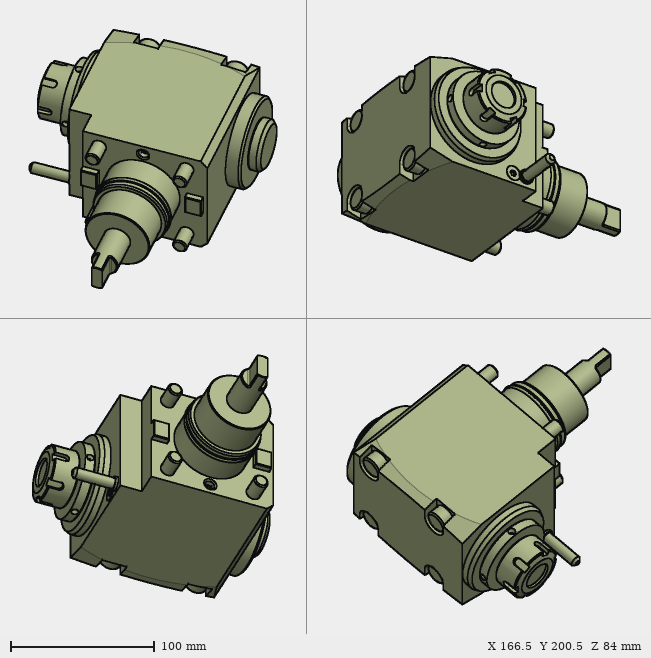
import cadquery as cq
import math


BLOCK_LEFT = -61.0
BLOCK_RIGHT = 48.0
BLOCK_BACK = 36.5
MOUNT_FACE_Y = -70.2
BLOCK_HEIGHT = 84.0
HALF_HEIGHT = BLOCK_HEIGHT / 2
STEP_X = -44.7
STEP_Y = -53.1
EDGE_CHAMFER = 5.0
BLOCK_MIDDLE = (BLOCK_LEFT + BLOCK_RIGHT) / 2

RELIEF_ANGLE = 15
RELIEF_START_Y = BLOCK_BACK - 7.2
RELIEF_RADIUS = 501.2
RELIEF_HALF_WIDTH = 80.2
RELIEF_HEIGHT = 40
RELIEF_REACH = 60.2

SCREW_X = 32.5
SCREW_Z = 31.5
SCREW_RADIUS = 5.2
SCREW_LENGTH = 15.0
SCREW_CHAMFER = 1.0
HEAD_SLOT_WIDTH = 18.2
HEAD_SLOT_DEPTH = 11.6
HEAD_RADIUS = 8.5
HEAD_HEIGHT = 10
HEAD_CHAMFER = 1.2

KEY_INNER_X = 32.7
KEY_WIDTH = 14.8
KEY_HEIGHT = 4.6
KEY_CHAMFER = 0.6
PORT_Z = 34
PORT_RADIUS = 4.8
PORT_SINK_DEPTH = 1.0
PORT_BORE_RADIUS = 3.6
PORT_BORE_DEPTH = 5.0
PORT_CHANNEL_RADIUS = 3.0
PORT_CHANNEL_LENGTH = 4.8

SHANK_RADIUS = 27.5
SEAL_START = 18.8
SEAL_END = 21.7
SEAL_RADIUS = 28.3
SEAL_GROOVE_RADIUS = 26.3
SHANK_RING_START = 22.7
SHANK_RING_END = 27.7
SHANK_RING_TAPER = 1.6
SHANK_RING_TAPER_DROP = 0.8
NOSE_RADIUS = 23.9
NOSE_END = 52.5
NOSE_CHAMFER = 0.6
DRIVE_RADIUS = 9.8
DRIVE_END = 93.8
TANG_START = 78.8
TANG_THICKNESS = 8
TANG_FILLET = 1.2
TANG_CHAMFER = 0.8
DRIVE_CHAMFER = 0.5

FLANGE_RADIUS = 36.3
FLANGE_LEFT = -69.0
FLANGE_TAPER = 3.2
FLANGE_TAPER_DROP = 1.5
COLLAR_RADIUS = 28
COLLAR_LEFT = -76.8
COLLAR_RIGHT = -69.5
COLLAR_NECK_RADIUS = 27.0
COLLAR_HOLE_X = -73.0
COLLAR_HOLE_RADIUS = 2.6
COLLAR_HOLE_TIP_RADIUS = 0.8
COLLAR_HOLE_DEPTH = 2.6
COLLAR_HOLE_COUNT = 4
NECK_RADIUS = 17.0

NUT_LEFT = -98.5
NUT_RIGHT = -77.8
NUT_RADIUS = 20.9
NUT_FACE_RADIUS = 15.0
NUT_CONE_RADIUS = 19.8
NUT_CONE_LENGTH = 1.6
NUT_CHAMFER = 0.8
NUT_BORE_RADIUS = 10.2
NUT_BORE_DEPTH = 2
NUT_SLOT_COUNT = 6
NUT_SLOT_WIDTH = 5.6
NUT_SLOT_END = NUT_LEFT + 12.5
NUT_SLOT_FLOOR = 17.6

CAP_RADIUS = 33.7
CAP_RIGHT = 59.0
CAP_CHAMFER = 1.6
BOSS_RADIUS = 19.0
BOSS_LEFT = 59.5
BOSS_RIGHT = 68.0
BOSS_CHAMFER = 2.6
BOSS_NECK_RADIUS = 18.5

PIN_Y = -44.3
PIN_Z = -33.7
PIN_RADIUS = 4
PIN_TIP_X = -93.5
PIN_TIP_CHAMFER = 2
PIN_COLLAR_RADIUS = 5.2
PIN_COLLAR_HEIGHT = 1.8
PLUG_Y = -34
PLUG_RADIUS = 5.6
PLUG_SINK = 0.2
PLUG_HEX_WIDTH = 4
PLUG_HEX_DEPTH = 2


def turned_on_x(profile):
    """Solid of revolution about the X axis from (x, radius) points."""
    return cq.Workplane("XY").polyline(profile).close().revolve(360, (0, 0, 0), (1, 0, 0))


def mount_plane(offset=0):
    """Plane parallel to the mounting face, with its normal pointing out of the block."""
    return cq.Workplane("XZ", origin=(0, MOUNT_FACE_Y - offset, 0))


def left_plane(y, z):
    """Plane on the collet side of the block, with its normal pointing out of the block."""
    return cq.Workplane("YZ", origin=(BLOCK_LEFT, y, z)).transformed(rotate=(0, 180, 0))


def make_block():
    outline = [
        (BLOCK_LEFT, BLOCK_BACK),
        (BLOCK_RIGHT, BLOCK_BACK),
        (BLOCK_RIGHT, MOUNT_FACE_Y),
        (STEP_X, MOUNT_FACE_Y),
        (STEP_X, STEP_Y),
        (BLOCK_LEFT, STEP_Y),
    ]
    block = cq.Workplane("XY").polyline(outline).close().extrude(HALF_HEIGHT, both=True)
    return block.edges("|Y and >X").chamfer(EDGE_CHAMFER)


def make_relief():
    """Cutter whose crowned underside slopes down towards the back of the top face."""
    sagitta = RELIEF_RADIUS - math.sqrt(RELIEF_RADIUS**2 - RELIEF_HALF_WIDTH**2)
    cutter = (
        cq.Workplane("XZ")
        .moveTo(-RELIEF_HALF_WIDTH, -sagitta)
        .threePointArc((0, 0), (RELIEF_HALF_WIDTH, -sagitta))
        .lineTo(RELIEF_HALF_WIDTH, RELIEF_HEIGHT)
        .lineTo(-RELIEF_HALF_WIDTH, RELIEF_HEIGHT)
        .close()
        .extrude(RELIEF_REACH, both=True)
    )
    cutter = cutter.rotate((0, 0, 0), (1, 0, 0), -RELIEF_ANGLE)
    return cutter.translate((BLOCK_MIDDLE, RELIEF_START_Y, HALF_HEIGHT))


def make_head_slot(x, side):
    """U-shaped slot in the back face, open to the top (side 1) or bottom (side -1)."""
    slot_floor = BLOCK_BACK - HEAD_SLOT_DEPTH
    back = cq.Workplane("XZ", origin=(x, slot_floor, side * SCREW_Z))
    rounded = back.circle(HEAD_SLOT_WIDTH / 2).extrude(-HEAD_SLOT_DEPTH)
    opening = back.center(0, side * HEAD_SLOT_WIDTH / 2).rect(HEAD_SLOT_WIDTH, HEAD_SLOT_WIDTH)
    return rounded.union(opening.extrude(-HEAD_SLOT_DEPTH))


def make_screw(x, z):
    """Screw whose head lies in its slot and whose end stands out of the mounting face."""
    end = (
        mount_plane().center(x, z).circle(SCREW_RADIUS).extrude(SCREW_LENGTH)
        .faces("<Y").chamfer(SCREW_CHAMFER)
    )
    head = (
        cq.Workplane("XZ", origin=(x, BLOCK_BACK - HEAD_SLOT_DEPTH, z))
        .circle(HEAD_RADIUS).extrude(-HEAD_HEIGHT)
        .faces(">Y").chamfer(HEAD_CHAMFER)
    )
    return end, head


def make_key(side):
    key_length = -STEP_X - KEY_INNER_X
    middle_x = side * (KEY_INNER_X + key_length / 2)
    key = mount_plane().center(middle_x, 0).rect(key_length, KEY_WIDTH).extrude(KEY_HEIGHT)
    return key.faces("<Y").chamfer(KEY_CHAMFER)


def make_port(z):
    """Countersunk bore whose floor meets a short round channel lying along Z."""
    sink = cq.Workplane(cq.Solid.makeCone(
        PORT_RADIUS, PORT_BORE_RADIUS, PORT_SINK_DEPTH,
        cq.Vector(0, MOUNT_FACE_Y, z), cq.Vector(0, 1, 0),
    ))
    bore = mount_plane().center(0, z).circle(PORT_BORE_RADIUS).extrude(-PORT_BORE_DEPTH)
    channel = (
        cq.Workplane("XY", origin=(0, MOUNT_FACE_Y + PORT_BORE_DEPTH, z - PORT_CHANNEL_LENGTH / 2))
        .circle(PORT_CHANNEL_RADIUS).extrude(PORT_CHANNEL_LENGTH)
    )
    return sink.union(bore).union(channel)


def make_tang_cutter(side):
    """Clears one side of the tang, leaving a fillet where the flat meets the shoulder."""
    middle_x = side * (TANG_THICKNESS / 2 + DRIVE_RADIUS)
    flat = mount_plane(TANG_START).center(middle_x, 0).rect(2 * DRIVE_RADIUS, 4 * DRIVE_RADIUS)
    cutter = flat.extrude(DRIVE_END - TANG_START)
    inner_face = "<X" if side > 0 else ">X"
    return cutter.faces(inner_face).edges(">Y").fillet(TANG_FILLET)


def make_shank():
    """Turned shank and drive shaft along -Y, ending in a flat tang."""
    steps = [
        (SEAL_GROOVE_RADIUS, SEAL_END),
        (SEAL_GROOVE_RADIUS, SHANK_RING_START),
        (SHANK_RADIUS, SHANK_RING_START),
        (SHANK_RADIUS, SHANK_RING_END - SHANK_RING_TAPER),
        (SHANK_RADIUS - SHANK_RING_TAPER_DROP, SHANK_RING_END),
        (NOSE_RADIUS, SHANK_RING_END),
        (NOSE_RADIUS, NOSE_END - NOSE_CHAMFER),
        (NOSE_RADIUS - NOSE_CHAMFER, NOSE_END),
        (DRIVE_RADIUS, NOSE_END),
        (DRIVE_RADIUS, DRIVE_END - DRIVE_CHAMFER),
        (DRIVE_RADIUS - DRIVE_CHAMFER, DRIVE_END),
        (0, DRIVE_END),
    ]
    shank = (
        cq.Workplane("XY", origin=(0, MOUNT_FACE_Y, 0))
        .lineTo(SHANK_RADIUS, 0)
        .lineTo(SHANK_RADIUS, -SEAL_START)
        .threePointArc((SEAL_RADIUS, -(SEAL_START + SEAL_END) / 2), (SHANK_RADIUS, -SEAL_END))
    )
    for radius, distance in steps:
        shank = shank.lineTo(radius, -distance)
    shank = shank.close().revolve(360, (0, 0, 0), (0, 1, 0))
    for side in (-1, 1):
        shank = shank.cut(make_tang_cutter(side))
    tang_zone = cq.selectors.BoxSelector(
        (-DRIVE_RADIUS, MOUNT_FACE_Y - DRIVE_END, -DRIVE_RADIUS),
        (DRIVE_RADIUS, MOUNT_FACE_Y - TANG_START, DRIVE_RADIUS),
    )
    return shank.edges("|Y").edges(tang_zone).chamfer(TANG_CHAMFER)


def make_collet_side():
    """Bearing flange, spindle collar and short neck that the nut seats against."""
    flange_edge = FLANGE_RADIUS - FLANGE_TAPER_DROP
    side = turned_on_x([
        (BLOCK_LEFT, 0),
        (BLOCK_LEFT, FLANGE_RADIUS),
        (FLANGE_LEFT + FLANGE_TAPER, FLANGE_RADIUS),
        (FLANGE_LEFT, flange_edge),
        (FLANGE_LEFT, COLLAR_NECK_RADIUS),
        (COLLAR_RIGHT, COLLAR_NECK_RADIUS),
        (COLLAR_RIGHT, COLLAR_RADIUS),
        (COLLAR_LEFT, COLLAR_RADIUS),
        (COLLAR_LEFT, NECK_RADIUS),
        (NUT_RIGHT, NECK_RADIUS),
        (NUT_RIGHT, 0),
    ])
    hole = cq.Workplane(cq.Solid.makeCone(
        COLLAR_HOLE_RADIUS, COLLAR_HOLE_TIP_RADIUS, COLLAR_HOLE_DEPTH,
        cq.Vector(COLLAR_HOLE_X, 0, COLLAR_RADIUS), cq.Vector(0, 0, -1),
    ))
    for index in range(COLLAR_HOLE_COUNT):
        side = side.cut(hole.rotate((0, 0, 0), (1, 0, 0), index * 360 / COLLAR_HOLE_COUNT))
    return side


def make_cap_side():
    """Bearing cap and the end boss of the spindle."""
    return turned_on_x([
        (BLOCK_RIGHT, 0),
        (BLOCK_RIGHT, CAP_RADIUS),
        (CAP_RIGHT - CAP_CHAMFER, CAP_RADIUS),
        (CAP_RIGHT, CAP_RADIUS - CAP_CHAMFER),
        (CAP_RIGHT, BOSS_NECK_RADIUS),
        (BOSS_LEFT, BOSS_NECK_RADIUS),
        (BOSS_LEFT, BOSS_RADIUS),
        (BOSS_RIGHT - BOSS_CHAMFER, BOSS_RADIUS),
        (BOSS_RIGHT, BOSS_RADIUS - BOSS_CHAMFER),
        (BOSS_RIGHT, 0),
    ])


def make_pin():
    pin = (
        left_plane(PIN_Y, PIN_Z).circle(PIN_RADIUS).extrude(BLOCK_LEFT - PIN_TIP_X)
        .faces("<X").chamfer(PIN_TIP_CHAMFER)
    )
    return pin.union(left_plane(PIN_Y, PIN_Z).circle(PIN_COLLAR_RADIUS).extrude(PIN_COLLAR_HEIGHT))


def make_plug_recess():
    """Slightly sunk plug face with a hexagon socket."""
    face = left_plane(PLUG_Y, PIN_Z).circle(PLUG_RADIUS).extrude(-PLUG_SINK)
    hexagon_diameter = PLUG_HEX_WIDTH / math.cos(math.pi / 6)
    return face.union(left_plane(PLUG_Y, PIN_Z).polygon(6, hexagon_diameter).extrude(-PLUG_HEX_DEPTH))


def make_housing():
    relief = make_relief()
    housing = make_block().cut(relief).cut(relief.mirror("XY"))
    housing = housing.cut(make_plug_recess())
    for z_side in (-1, 1):
        housing = housing.cut(make_port(z_side * PORT_Z))
        for x_side in (-1, 1):
            housing = housing.cut(make_head_slot(x_side * SCREW_X, z_side))
    for x_side in (-1, 1):
        housing = housing.union(make_key(x_side))
        for z_side in (-1, 1):
            end, head = make_screw(x_side * SCREW_X, z_side * SCREW_Z)
            housing = housing.union(end).union(head)
    for feature in (make_shank(), make_collet_side(), make_cap_side(), make_pin()):
        housing = housing.union(feature)
    return housing


def make_nut_slot():
    """Radial wrench slot, open at the front of the nut and round at its inner end."""
    slot_radius = NUT_SLOT_WIDTH / 2
    round_x = NUT_SLOT_END - slot_radius
    return (
        cq.Workplane("XY", origin=(0, 0, NUT_SLOT_FLOOR))
        .moveTo(NUT_LEFT, -slot_radius)
        .lineTo(round_x, -slot_radius)
        .threePointArc((NUT_SLOT_END, 0), (round_x, slot_radius))
        .lineTo(NUT_LEFT, slot_radius)
        .close()
        .extrude(NUT_RADIUS)
    )


def make_nut():
    cone_end = NUT_LEFT + NUT_CONE_LENGTH
    nut = turned_on_x([
        (NUT_LEFT + NUT_BORE_DEPTH, 0),
        (NUT_LEFT + NUT_BORE_DEPTH, NUT_BORE_RADIUS),
        (NUT_LEFT, NUT_BORE_RADIUS),
        (NUT_LEFT, NUT_FACE_RADIUS),
        (cone_end, NUT_CONE_RADIUS),
        (cone_end + NUT_CHAMFER, NUT_RADIUS),
        (NUT_RIGHT - NUT_CHAMFER, NUT_RADIUS),
        (NUT_RIGHT, NUT_RADIUS - NUT_CHAMFER),
        (NUT_RIGHT, 0),
    ])
    slot = make_nut_slot()
    for index in range(NUT_SLOT_COUNT):
        angle = 90 + index * 360 / NUT_SLOT_COUNT
        nut = nut.cut(slot.rotate((0, 0, 0), (1, 0, 0), angle))
    return nut


housing = make_housing()
nut = make_nut()
result = cq.Compound.makeCompound([housing.solids().val(), nut.solids().val()])